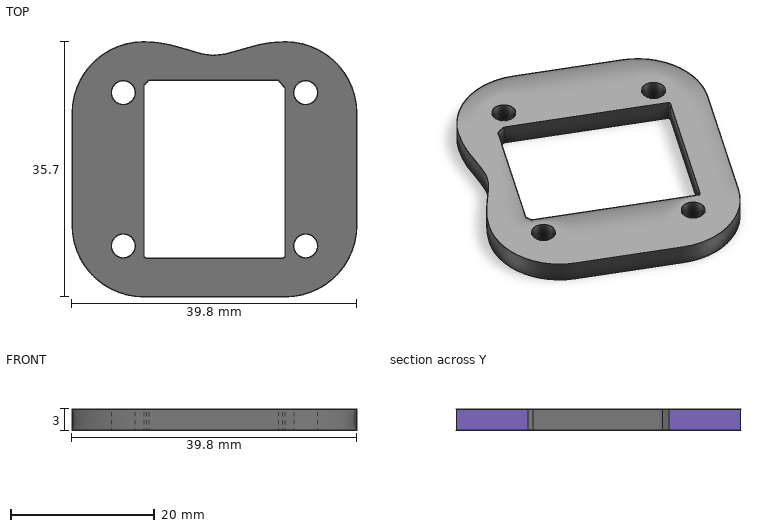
import cadquery as cq

length = 39.77
width = 35.65
thickness = 3.0
corner_radius = 10.02

dip_depth = 1.9
dip_x = -0.25

window_length = 19.65
window_width = 24.8
top_left_bevel = (0.68, 0.68)
top_right_bevel = (0.9, 1.07)
bottom_bevel = (0.3, 0.2)

hole_diameter = 3.3
hole_spacing_x = 25.45
hole_spacing_y = 21.4


def make_plate():
    """Rounded plate whose +Y edge dips between the two upper corners."""
    plate = cq.Workplane("XY").box(length, width, thickness, centered=(True, True, False))
    plate = plate.edges("|Z").fillet(corner_radius)
    shoulder_x = length / 2 - corner_radius
    top_y = width / 2
    dip = (
        cq.Workplane("XY")
        .moveTo(-shoulder_x, top_y)
        .spline(
            [(dip_x, top_y - dip_depth), (shoulder_x, top_y)],
            tangents=[(1, 0), (1, 0)],
            includeCurrent=True,
        )
        .close()
        .extrude(thickness)
    )
    return plate.cut(dip)


def make_window():
    """Through-cutter for the window, with bevelled corners."""
    x = window_length / 2
    y = window_width / 2
    outline = [
        (-x + bottom_bevel[0], -y),
        (x - bottom_bevel[0], -y),
        (x, -y + bottom_bevel[1]),
        (x, y - top_right_bevel[1]),
        (x - top_right_bevel[0], y),
        (-x + top_left_bevel[0], y),
        (-x, y - top_left_bevel[1]),
        (-x, -y + bottom_bevel[1]),
    ]
    return cq.Workplane("XY").polyline(outline).close().extrude(thickness)


def make_holes():
    """Through-cutters for the four mounting holes."""
    return (
        cq.Workplane("XY")
        .rarray(hole_spacing_x, hole_spacing_y, 2, 2)
        .circle(hole_diameter / 2)
        .extrude(thickness)
    )


result = make_plate().cut(make_window()).cut(make_holes())